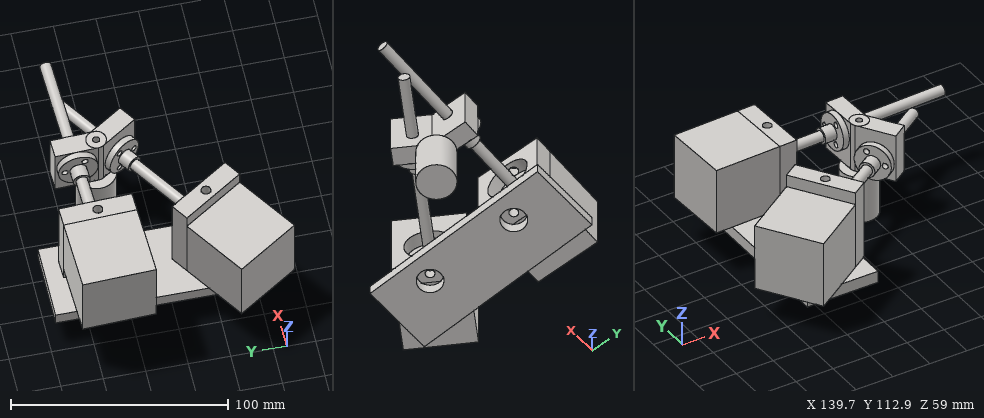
import cadquery as cq
import math


motor_size = 35.0
motor_length = 35.1
pilot_diameter = 22.0
pilot_length = 2.8
pilot_bore_diameter = 23.0
mount_thickness = 9.5
screw_offset = 3.2
mount_height = motor_size + 2 * screw_offset
swivel_hole_diameter = 4.5
screw_diameter = 5.6
screw_reach = 96.8

base_length = 101.7
base_width = 38.3
base_thickness = 6.3
base_hole_diameter = 12.7
swivel_x = 6.3
swivel_y = base_length / 4

arm_thickness = 9.5
arm_length = 20.7
arm_height = 25.5
screw_to_hinge = 10.5
hinge_x = 50.6
hinge_y = 16.6
hinge_hole_diameter = 3.2
tool_diameter = 19.0
tool_height = 25.5

flange_diameter = 18.9
flange_thickness = 3.2
nut_length = 9.5
sleeve_diameter = 8.0
nut_hole_count = 3
nut_hole_diameter = 3.0
nut_hole_circle_radius = 6.3


def cylinder_along_x(diameter, x_start, x_end):
    """A cylinder parallel to X at screw height."""
    return (
        cq.Workplane("YZ", origin=(x_start, 0, screw_offset))
        .circle(diameter / 2)
        .extrude(x_end - x_start)
    )



def make_motor():
    """Square motor with its round pilot and lead screw."""
    back_of_mount = -mount_thickness / 2
    housing = cq.Workplane("XY", origin=(back_of_mount - motor_length / 2, 0, screw_offset)).box(
        motor_length, motor_size, motor_size
    )
    pilot = cylinder_along_x(pilot_diameter, back_of_mount, back_of_mount + pilot_length)
    screw = cylinder_along_x(screw_diameter, back_of_mount, screw_reach)
    return housing.union(pilot).union(screw)


def make_mount():
    """Upright plate with a wide bore round the motor pilot and a vertical swivel hole."""
    plate = cq.Workplane("XY").box(mount_thickness, motor_size, mount_height)
    pilot_bore = cylinder_along_x(pilot_bore_diameter, -mount_thickness / 2, mount_thickness / 2)
    return plate.faces(">Z").workplane().hole(swivel_hole_diameter).cut(pilot_bore)


def make_arm(slide):
    """Block from the hinge out past the screw, hollowed at one end to fit round the hinge post."""
    hinge = (slide, -screw_to_hinge, 0)
    block = cq.Workplane("XY", origin=hinge).box(
        arm_thickness, arm_length, arm_height, centered=(True, False, True)
    )
    post_recess = cq.Workplane("XY", origin=hinge).cylinder(arm_height, arm_thickness / 2)
    screw_bore = cylinder_along_x(
        screw_diameter, slide - arm_thickness / 2, slide + arm_thickness / 2
    )
    return block.cut(post_recess).cut(screw_bore)


def make_nut(slide):
    """Flanged nut seated on the motor side of the arm."""
    seat = slide - arm_thickness / 2
    sleeve = cylinder_along_x(sleeve_diameter, seat - nut_length, seat)
    nut = cylinder_along_x(flange_diameter, seat - flange_thickness, seat).union(sleeve)
    holes = (
        cq.Workplane("YZ", origin=(seat, 0, screw_offset))
        .polarArray(nut_hole_circle_radius, 0, 360, nut_hole_count)
        .circle(nut_hole_diameter / 2)
        .extrude(-flange_thickness)
    )
    return nut.cut(holes).cut(cylinder_along_x(screw_diameter, seat - nut_length, seat))


def make_base():
    """Flat plate under the two mounts, with a through hole below each swivel axis."""
    plate = cq.Workplane("XY", origin=(0, 0, -mount_height / 2 - base_thickness / 2)).box(
        base_width, base_length, base_thickness
    )
    swivel_points = [(swivel_x, swivel_y), (swivel_x, -swivel_y)]
    return plate.faces(">Z").workplane().pushPoints(swivel_points).hole(base_hole_diameter)


def make_tool():
    """Round tool below the arms with the hinge post on top of it."""
    top = cq.Workplane("XY", origin=(hinge_x, hinge_y, -arm_height / 2))
    handle = top.circle(tool_diameter / 2).extrude(-tool_height)
    post = top.circle(arm_thickness / 2).circle(hinge_hole_diameter / 2).extrude(arm_height)
    return handle.union(post)


def place(body, side, angle):
    """Puts a body of one drive on its swivel, turned over about its screw direction for side -1."""
    turn_over = 0 if side == 1 else 180
    return (
        body.rotate((0, 0, 0), (1, 0, 0), turn_over)
        .rotate((0, 0, 0), (0, 0, 1), angle)
        .translate((swivel_x, side * swivel_y, 0))
    )


motors = []
mounts = []
arms = []
nuts = []
for side in (1, -1):
    reach_x = hinge_x - swivel_x
    reach_y = hinge_y - side * swivel_y
    swivel_to_hinge = math.hypot(reach_x, reach_y)
    slide = math.sqrt(swivel_to_hinge**2 - screw_to_hinge**2)
    screw_angle = math.degrees(
        math.atan2(reach_y, reach_x) + side * math.asin(screw_to_hinge / swivel_to_hinge)
    )
    motors.append(place(make_motor(), side, screw_angle))
    mounts.append(place(make_mount(), side, screw_angle))
    arms.append(place(make_arm(slide), side, screw_angle))
    nuts.append(place(make_nut(slide), side, screw_angle))

arms[1] = arms[1].cut(arms[0])

bodies = [make_base(), *motors, *mounts, *arms, *nuts, make_tool()]
result = cq.Compound.makeCompound([body.val() for body in bodies])